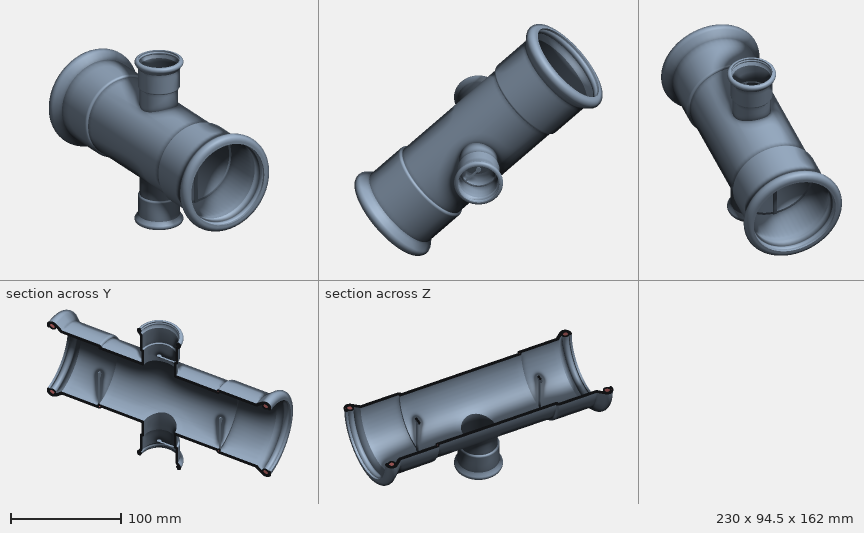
import cadquery as cq
import math

run_length = 230.0
branch_span = 162.0

run_neck_radius = 76.1 / 2
run_collar_radius = 80.7 / 2
run_bead_outer_radius = 94.5 / 2
run_bead_radius = 5.3
run_lip_radius = 39.5
run_cone_depth = 15.2
run_stop_depth = 53.1
run_wall = 2.0
run_stop_disc_radius = 4.5
run_spoke_width = 3.5

branch_neck_radius = 35.0 / 2
branch_collar_radius = 38.5 / 2
branch_bead_outer_radius = 22.3
branch_bead_radius = 2.8
branch_lip_radius = 18.9
branch_cone_depth = 7.8
branch_stop_depth = 26.0
branch_wall = 1.5
branch_stop_disc_radius = 2.3
branch_spoke_width = 1.5

stop_disc_thickness = 1.0

DIAGONAL = math.sqrt(0.5)


def arc_point(center_depth, center_radius, arc_radius, angle):
    """Point on a bead arc; zero degrees points radially outward, positive toward the pipe middle."""
    turn = math.radians(angle)
    return (center_depth + arc_radius * math.sin(turn), center_radius + arc_radius * math.cos(turn))


def revolve_profile(profile):
    """Turn a (depth, radius) profile about the X axis."""
    return profile.close().revolve(360, (0, 0, 0), (1, 0, 0))


def socket_outside(length, neck_radius, collar_radius, bead_outer_radius, bead_radius, cone_depth, stop_depth):
    """Solid socket and neck, mouth at X = 0, reaching to X = length."""
    bead_center = bead_outer_radius - bead_radius
    shoulder = collar_radius - neck_radius
    return revolve_profile(
        cq.Workplane("XY")
        .moveTo(0, 0)
        .lineTo(0, bead_center)
        .threePointArc(
            arc_point(bead_radius, bead_center, bead_radius, -22.5),
            arc_point(bead_radius, bead_center, bead_radius, 45),
        )
        .lineTo(cone_depth, collar_radius)
        .lineTo(stop_depth, collar_radius)
        .threePointArc(
            (stop_depth + shoulder * DIAGONAL, neck_radius + shoulder * DIAGONAL),
            (stop_depth + shoulder, neck_radius),
        )
        .lineTo(length, neck_radius)
        .lineTo(length, 0)
    )


def socket_inside(
    length, neck_radius, collar_radius, bead_outer_radius, bead_radius, cone_depth, stop_depth, wall, lip_radius
):
    """Bore, socket and seal groove to cut out, mouth at X = 0, reaching to X = length."""
    bead_center = bead_outer_radius - bead_radius
    groove_radius = bead_radius - wall
    socket_radius = collar_radius - wall
    inner_cone_depth = cone_depth - wall * math.tan(math.radians(22.5))
    return revolve_profile(
        cq.Workplane("XY")
        .moveTo(0, 0)
        .lineTo(0, lip_radius)
        .lineTo(wall, lip_radius)
        .lineTo(wall, bead_center)
        .threePointArc(
            arc_point(bead_radius, bead_center, groove_radius, -22.5),
            arc_point(bead_radius, bead_center, groove_radius, 45),
        )
        .lineTo(inner_cone_depth, socket_radius)
        .lineTo(stop_depth, socket_radius)
        .lineTo(stop_depth, neck_radius - wall)
        .lineTo(length, neck_radius - wall)
        .lineTo(length, 0)
    )


def make_stop_disc(disc_radius, spoke_width, reach, start):
    """Small disc on the axis from X = start, held by one spoke that runs along -Z into the wall."""
    disc = cq.Workplane("YZ", origin=(start, 0, 0)).circle(disc_radius).extrude(stop_disc_thickness)
    spoke = cq.Workplane("XY").box(
        stop_disc_thickness, spoke_width, reach, centered=(False, True, False)
    ).translate((start, 0, -reach))
    return disc.union(spoke)


def make_seal(bead_outer_radius, bead_radius, wall):
    """Round sealing ring that seats in the groove behind the lip."""
    seal = cq.Solid.makeTorus(
        bead_outer_radius - bead_radius, bead_radius - wall, cq.Vector(bead_radius, 0, 0), cq.Vector(1, 0, 0)
    )
    return cq.Workplane(seal)


def both_run_ends(part):
    """Place a mouth-at-origin part at the -X end and mirror it to the +X end."""
    left = part.translate((-run_length / 2, 0, 0))
    return [left, left.mirror("YZ")]


def both_branch_ends(part):
    """Place a mouth-at-origin part at the top, spoke toward +X, and mirror it to the bottom."""
    upright = part.rotate((0, 0, 0), (0, 1, 0), 90)
    top = upright.mirror("YZ").translate((0, 0, branch_span / 2))
    return [top, top.mirror("XY")]


run_shape = (
    run_length / 2,
    run_neck_radius,
    run_collar_radius,
    run_bead_outer_radius,
    run_bead_radius,
    run_cone_depth,
    run_stop_depth,
)
branch_shape = (
    branch_span / 2,
    branch_neck_radius,
    branch_collar_radius,
    branch_bead_outer_radius,
    branch_bead_radius,
    branch_cone_depth,
    branch_stop_depth,
)


def make_housing():
    """Cross fitting: outer shapes joined, inner shapes cut, then the stop discs joined."""
    outsides = both_run_ends(socket_outside(*run_shape)) + both_branch_ends(socket_outside(*branch_shape))
    insides = both_run_ends(socket_inside(*run_shape, run_wall, run_lip_radius))
    insides += both_branch_ends(socket_inside(*branch_shape, branch_wall, branch_lip_radius))
    run_disc_start = run_stop_depth - stop_disc_thickness
    run_disc = make_stop_disc(
        run_stop_disc_radius, run_spoke_width, run_collar_radius - run_wall / 2, run_disc_start
    )
    branch_disc = make_stop_disc(
        branch_stop_disc_radius, branch_spoke_width, branch_neck_radius - branch_wall / 2, branch_stop_depth
    )

    body = outsides[0]
    for outside in outsides[1:]:
        body = body.union(outside)
    for inside in insides:
        body = body.cut(inside)
    for disc in both_run_ends(run_disc) + both_branch_ends(branch_disc):
        body = body.union(disc)
    return body


housing = make_housing()
run_seals = both_run_ends(make_seal(run_bead_outer_radius, run_bead_radius, run_wall))
branch_seals = both_branch_ends(make_seal(branch_bead_outer_radius, branch_bead_radius, branch_wall))
seals = [seal.val() for seal in run_seals + branch_seals]

result = cq.Compound.makeCompound([*housing.solids().vals(), *seals])